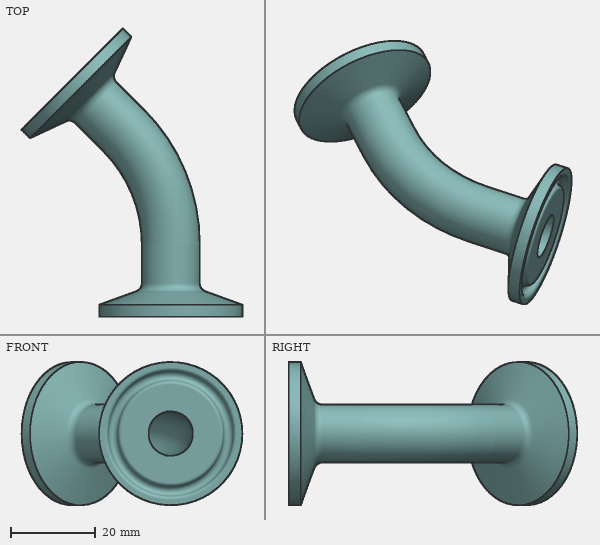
import cadquery as cq
import math

tube_radius = 13.8 / 2
bore_radius = 10.5 / 2
bend_angle = 45
bend_radius = 38.1
leg_length = 17.2

flange_radius = 34.0 / 2
rim_thickness = 2.9
cone_angle = math.radians(20)
neck_fillet = 2.0

groove_radius = 13.7
groove_half_width = 2.0
groove_floor_round = 1.1
groove_lip_round = 0.8
flank_angle = math.radians(70)


def arc_points(center, radius, start_angle, end_angle):
    """Middle and end points of an arc; angles in radians."""
    middle_angle = (start_angle + end_angle) / 2
    return [
        (center[0] + radius * math.cos(a), center[1] + radius * math.sin(a))
        for a in (middle_angle, end_angle)
    ]


def make_ferrule():
    """Straight flanged leg along +Y, with its flange face at Y = 0."""
    neck_center_x = tube_radius + neck_fillet
    cone_end_x = neck_center_x - neck_fillet * math.sin(cone_angle)
    cone_end_y = rim_thickness + (flange_radius - cone_end_x) * math.tan(cone_angle)
    neck_center_y = cone_end_y + neck_fillet * math.cos(cone_angle)
    neck_arc = arc_points(
        (neck_center_x, neck_center_y), neck_fillet, 1.5 * math.pi - cone_angle, math.pi
    )
    return (
        cq.Workplane("XY")
        .moveTo(bore_radius, 0)
        .lineTo(flange_radius, 0)
        .lineTo(flange_radius, rim_thickness)
        .lineTo(cone_end_x, cone_end_y)
        .threePointArc(*neck_arc)
        .lineTo(tube_radius, leg_length)
        .lineTo(bore_radius, leg_length)
        .close()
        .revolve(360, (0, 0, 0), (0, 1, 0))
        .cut(make_groove())
    )


def make_groove():
    """Ring groove with a round floor, sloping sides and rounded lips."""
    rounds_run = (groove_floor_round + groove_lip_round) * math.sin(flank_angle)
    rounds_rise = (groove_floor_round + groove_lip_round) * (1 - math.cos(flank_angle))
    flank_rise = (groove_half_width - rounds_run) * math.tan(flank_angle)
    depth = rounds_rise + flank_rise

    inner_lip = (groove_radius - groove_half_width, groove_lip_round)
    outer_lip = (groove_radius + groove_half_width, groove_lip_round)
    floor_center = (groove_radius, depth - groove_floor_round)
    down = -math.pi / 2
    up = math.pi / 2
    inner_arc = arc_points(inner_lip, groove_lip_round, down, down + flank_angle)
    floor_arc = arc_points(floor_center, groove_floor_round, up + flank_angle, up - flank_angle)
    floor_start = arc_points(floor_center, groove_floor_round, up, up + flank_angle)[1]
    outer_start = arc_points(outer_lip, groove_lip_round, down, down - flank_angle)[1]
    outer_arc = arc_points(outer_lip, groove_lip_round, down - flank_angle, down)
    return (
        cq.Workplane("XY")
        .moveTo(inner_lip[0], 0)
        .threePointArc(*inner_arc)
        .lineTo(*floor_start)
        .threePointArc(*floor_arc)
        .lineTo(*outer_start)
        .threePointArc(*outer_arc)
        .close()
        .revolve(360, (0, 0, 0), (0, 1, 0))
    )


def make_bend():
    """Tube elbow starting at the end of the first leg and turning toward -X."""
    return (
        cq.Workplane("XZ", origin=(0, leg_length, 0))
        .circle(tube_radius)
        .circle(bore_radius)
        .revolve(bend_angle, (-bend_radius, 0, 0), (-bend_radius, 1, 0))
    )


first_leg = make_ferrule()

bend_start = (0, leg_length, 0)
bend_center = (-bend_radius, leg_length, 0)
second_leg = first_leg.rotate(bend_start, (0, leg_length, 1), 180).rotate(
    bend_center, (-bend_radius, leg_length, 1), bend_angle
)

result = first_leg.union(make_bend()).union(second_leg)